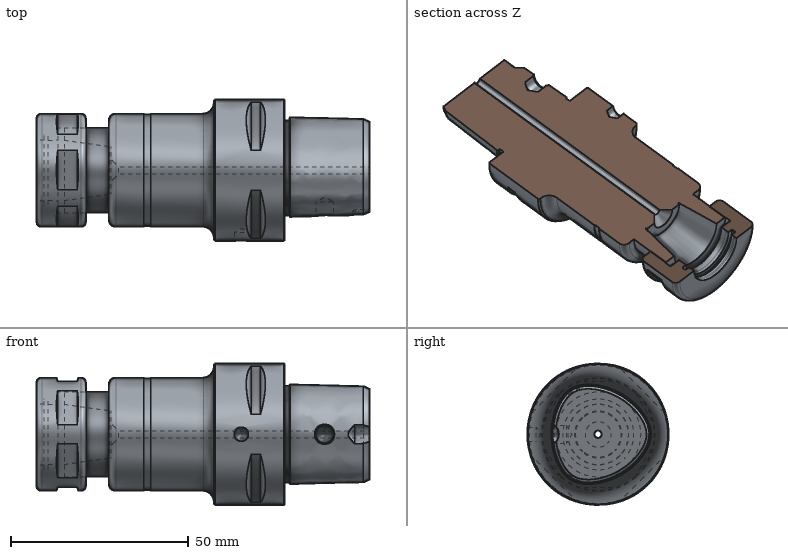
import cadquery as cq
import math


nut_front = -70.0
nut_length = 14.0
nut_back = nut_front + nut_length
sleeve_front = -49.6
flange_length = 20.0
flange_front = -flange_length
shank_length = 24.0

flange_radius = 20.0
flange_front_chamfer = 0.5
flange_back_chamfer = 0.25
sleeve_radius = 16.0
sleeve_front_fillet = 2.0
sleeve_root_fillet = 3.0
neck_radius = 12.0
ring_groove_start = -39.65
ring_groove_width = 1.9
ring_groove_depth = 0.2

nose_setback = 7.85
nose_front = nut_front + nose_setback
collet_mouth_radius = 17.0 / 2
collet_seat_radius = 13.3 / 2
collet_half_angle = 8.0
stop_face_radius = 12.8 / 2
stop_edge_chamfer = collet_seat_radius - stop_face_radius
stop_edge_length = 0.5
stop_cone_radius = 7.25 / 2
stop_cone_angle = 90.0
coolant_radius = 2.0 / 2

grip_slot_count = 4
grip_slot_position = -8.1
grip_slot_floor_width = 2.6
grip_slot_floor_distance = 17.57
grip_slot_wall_angle = 30.0
flange_hole_position = -12.2
flange_hole_diameter = 4.0
flange_hole_depth = 2.5

lobe_height = 0.9
shank_mean_radius = 14.1
taper_slope = 1 / 40
relief_length = 1.3
relief_depth = 0.4
relief_radius = 14.1
relief_ramp_length = 0.3
end_chamfer_length = 1.75
end_chamfer_depth = 0.8
outline_points = 72
shank_hole_position = 11.3
shank_hole_diameter = 5.0
shank_hole_mouth = 5.6
shank_hole_mouth_depth = 0.3
shank_hole_depth = 4.0
key_groove_diameter = 6.0
key_groove_length = 4.25
key_groove_offset = 14.0
key_groove_tip_angle = 90.0
drill_angle = 118.0

nut_radius = 16.0
nut_edge_fillet = 1.5
nut_flat_count = 6
nut_flat_distance = 15.0
nut_flat_start = -64.0
nut_flat_length = 5.5
nut_flat_wall_angle = 20.0
nut_bore_radius = 17.0 / 2
nut_bore_relief = 0.1
nut_front_land = 0.9
nut_front_relief_length = 0.45
nut_rear_land = 1.1
nut_groove_start = 2.05
nut_groove_width = 1.15
nut_groove_radius = 10.0
nut_recess_start = 6.0


def tan_deg(angle):
    return math.tan(math.radians(angle))


def turned(outline):
    """Revolve a closed (X, radius) outline about the X axis."""
    return outline.close().revolve(360, (0, 0, 0), (1, 0, 0))


def holder_outside():
    groove_end = ring_groove_start + ring_groove_width
    groove_radius = sleeve_radius - ring_groove_depth
    diagonal = math.sqrt(0.5)
    front_fillet_middle = (
        sleeve_front + sleeve_front_fillet * (1 - diagonal),
        sleeve_radius - sleeve_front_fillet * (1 - diagonal),
    )
    root_fillet_middle = (
        flange_front - sleeve_root_fillet * (1 - diagonal),
        sleeve_radius + sleeve_root_fillet * (1 - diagonal),
    )
    outline = (
        cq.Workplane("XY")
        .moveTo(nose_front, 0)
        .lineTo(nose_front, neck_radius)
        .lineTo(sleeve_front, neck_radius)
        .lineTo(sleeve_front, sleeve_radius - sleeve_front_fillet)
        .threePointArc(front_fillet_middle, (sleeve_front + sleeve_front_fillet, sleeve_radius))
        .lineTo(ring_groove_start, sleeve_radius)
        .lineTo(ring_groove_start, groove_radius)
        .lineTo(groove_end, groove_radius)
        .lineTo(groove_end, sleeve_radius)
        .lineTo(flange_front - sleeve_root_fillet, sleeve_radius)
        .threePointArc(root_fillet_middle, (flange_front, sleeve_radius + sleeve_root_fillet))
        .lineTo(flange_front, flange_radius - flange_front_chamfer)
        .lineTo(flange_front + flange_front_chamfer, flange_radius)
        .lineTo(-flange_back_chamfer, flange_radius)
        .lineTo(0, flange_radius - flange_back_chamfer)
        .lineTo(0, 0)
    )
    return turned(outline)


def shank_section(position, mean_radius):
    """Outline of constant width with three lobes, one of them pointing to +Y."""

    def point(t):
        angle = math.pi + 2 * math.pi * t
        support = mean_radius + lobe_height * math.cos(3 * angle)
        slope = -3 * lobe_height * math.sin(3 * angle)
        y = support * math.cos(angle) - slope * math.sin(angle)
        z = support * math.sin(angle) + slope * math.cos(angle)
        return cq.Vector(position, y, z)

    points = [point(i / outline_points) for i in range(outline_points)]
    return cq.Wire.assembleEdges([cq.Edge.makeSpline(points, periodic=True)])


def shank_piece(start, start_radius, end, end_radius):
    sections = [shank_section(start, start_radius), shank_section(end, end_radius)]
    return cq.Workplane(cq.Solid.makeLoft(sections, True))


def shank():
    taper_start = relief_length + relief_ramp_length
    taper_end = shank_length - end_chamfer_length
    small_radius = shank_mean_radius - taper_slope * (taper_end - taper_start)
    neck_mean_radius = shank_mean_radius - relief_depth
    relief_disc = cq.Workplane("YZ").circle(relief_radius).extrude(relief_length)
    neck = shank_piece(0, neck_mean_radius, relief_length, neck_mean_radius).intersect(relief_disc)
    ramp = shank_piece(relief_length, neck_mean_radius, taper_start, shank_mean_radius)
    taper = shank_piece(taper_start, shank_mean_radius, taper_end, small_radius)
    tip = shank_piece(taper_end, small_radius, shank_length, small_radius - end_chamfer_depth)
    return neck.union(ramp).union(taper).union(tip)


def collet_seat():
    """Tapered seat, a chamfered stop face at its floor and the coolant hole through the axis."""
    seat_depth = (collet_mouth_radius - collet_seat_radius) / tan_deg(collet_half_angle)
    floor = nose_front + seat_depth
    stop_face = floor - stop_edge_length
    cone_end = stop_face + (stop_cone_radius - coolant_radius) / tan_deg(stop_cone_angle / 2)
    outline = (
        cq.Workplane("XY")
        .moveTo(nose_front, 0)
        .lineTo(nose_front, collet_mouth_radius)
        .lineTo(floor, collet_seat_radius)
        .lineTo(stop_face, collet_seat_radius - stop_edge_chamfer)
        .lineTo(stop_face, stop_cone_radius)
        .lineTo(cone_end, coolant_radius)
        .lineTo(shank_length, coolant_radius)
        .lineTo(shank_length, 0)
    )
    return turned(outline)


def grip_slot(turn):
    """Straight slot across the flange with sloping walls."""
    rise = flange_radius - grip_slot_floor_distance
    half_floor = grip_slot_floor_width / 2
    half_top = half_floor + rise * tan_deg(grip_slot_wall_angle)
    return (
        cq.Workplane("XZ")
        .moveTo(grip_slot_position - half_floor, grip_slot_floor_distance)
        .lineTo(grip_slot_position + half_floor, grip_slot_floor_distance)
        .lineTo(grip_slot_position + half_top, flange_radius)
        .lineTo(grip_slot_position - half_top, flange_radius)
        .close()
        .extrude(flange_radius, both=True)
        .rotate((0, 0, 0), (1, 0, 0), turn)
    )


def drilled_hole(base, direction, diameter, depth, tip_angle):
    """Cylinder with a conical tip, starting at base."""
    cylinder = cq.Solid.makeCylinder(diameter / 2, depth, base, direction)
    tip_base = base + direction * depth
    tip_length = diameter / 2 / tan_deg(tip_angle / 2)
    tip = cq.Solid.makeCone(diameter / 2, 0, tip_length, tip_base, direction)
    return cq.Workplane(cylinder).union(cq.Workplane(tip))


def flange_hole():
    base = cq.Vector(flange_hole_position, -flange_radius, 0)
    return drilled_hole(base, cq.Vector(0, 1, 0), flange_hole_diameter, flange_hole_depth, drill_angle)


def shank_hole():
    """Drilled hole with a wider mouth, in the side of the shank that faces -Y."""
    taper_start = relief_length + relief_ramp_length
    surface = shank_mean_radius - lobe_height - taper_slope * (shank_hole_position - taper_start)
    hole_radius = shank_hole_diameter / 2
    mouth_radius = shank_hole_mouth / 2
    mouth_floor = -surface + shank_hole_mouth_depth
    tip_start = -surface + shank_hole_depth
    tip_end = tip_start + hole_radius / tan_deg(drill_angle / 2)
    outline = (
        cq.Workplane("XY", origin=(shank_hole_position, 0, 0))
        .moveTo(0, -flange_radius)
        .lineTo(mouth_radius, -flange_radius)
        .lineTo(mouth_radius, mouth_floor)
        .lineTo(hole_radius, mouth_floor + mouth_radius - hole_radius)
        .lineTo(hole_radius, tip_start)
        .lineTo(0, tip_end)
    )
    return outline.close().revolve(360, (0, 0, 0), (0, 1, 0))


def key_groove():
    """Axial groove with a conical end, open to the tip of the shank."""
    base = cq.Vector(shank_length, -key_groove_offset, 0)
    direction = cq.Vector(-1, 0, 0)
    return drilled_hole(base, direction, key_groove_diameter, key_groove_length, key_groove_tip_angle)


holder = holder_outside().union(shank()).cut(collet_seat())
for i in range(grip_slot_count):
    holder = holder.cut(grip_slot(45 + i * 360 / grip_slot_count))
holder = holder.cut(flange_hole()).cut(shank_hole()).cut(key_groove())


def nut_blank():
    blank = cq.Workplane("YZ", origin=(nut_front, 0, 0)).circle(nut_radius).extrude(nut_length)
    return blank.edges().fillet(nut_edge_fillet)


def nut_inside():
    """Front bore with an inner groove, then the recess that takes the holder's nose."""
    groove_start = nut_front + nut_groove_start
    groove_end = groove_start + nut_groove_width
    front_land_end = nut_front + nut_front_land
    relief_bore_radius = nut_bore_radius + nut_bore_relief
    recess_start = nut_front + nut_recess_start
    outline = (
        cq.Workplane("XY")
        .moveTo(nut_front, 0)
        .lineTo(nut_front, nut_bore_radius)
        .lineTo(front_land_end, nut_bore_radius)
        .lineTo(front_land_end + nut_front_relief_length, relief_bore_radius)
        .lineTo(groove_start, relief_bore_radius)
        .lineTo(groove_start, nut_groove_radius)
        .lineTo(groove_end, nut_groove_radius)
        .lineTo(groove_end, nut_bore_radius)
        .lineTo(groove_end + nut_rear_land, nut_bore_radius)
        .lineTo(recess_start, relief_bore_radius)
        .lineTo(recess_start, neck_radius)
        .lineTo(nut_back, neck_radius)
        .lineTo(nut_back, 0)
    )
    return turned(outline)


def nut_flat(turn):
    """Wrench flat between two slightly sloping end walls."""
    flat_end = nut_flat_start + nut_flat_length
    flare = (nut_radius - nut_flat_distance) * tan_deg(nut_flat_wall_angle)
    return (
        cq.Workplane("XZ")
        .moveTo(nut_flat_start, nut_flat_distance)
        .lineTo(flat_end, nut_flat_distance)
        .lineTo(flat_end + flare, nut_radius)
        .lineTo(nut_flat_start - flare, nut_radius)
        .close()
        .extrude(nut_radius, both=True)
        .rotate((0, 0, 0), (1, 0, 0), turn)
    )


nut = nut_blank().cut(nut_inside())
for i in range(nut_flat_count):
    nut = nut.cut(nut_flat(i * 360 / nut_flat_count))

result = cq.Compound.makeCompound([holder.val(), nut.val()])